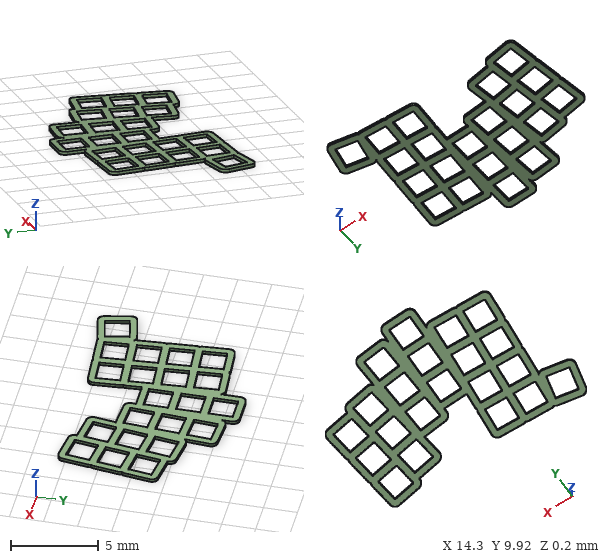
import cadquery as cq


THICKNESS = 0.2
KEY_PITCH = 1.9
FRAME_SIZE = 2.29
FRAME_CORNER_RADIUS = 0.39
OPENING_SIZE = 1.43

OUTER_COLUMN_DROP = 0.4

BLOCKS = [
    ((-5.69, -5.59), 12, 1, 1, 0),
    ((-2.93, -2.39), 4, 2, 4, 0),
    ((0, 0), 0, 1, 3, 0),
    ((2.09, -0.72), -4, 1, 3, 0),
    ((4.9, -2.92), -8, 2, 3, OUTER_COLUMN_DROP),
]


def key_centres(columns, rows, drop):
    """Key centres of an unturned block whose middle is at the origin."""
    centres = []
    for column in range(columns):
        columns_from_middle = column - (columns - 1) / 2
        for row in range(rows):
            rows_from_middle = row - (rows - 1) / 2
            x = columns_from_middle * KEY_PITCH
            y = rows_from_middle * KEY_PITCH - columns_from_middle * drop
            centres.append((x, y))
    return centres


def key_frame(block_plane, position):
    """Solid rounded square of plate thickness at one key position."""
    square = block_plane.center(*position).rect(FRAME_SIZE, FRAME_SIZE).extrude(THICKNESS)
    return square.edges("|Z").fillet(FRAME_CORNER_RADIUS)


def block_openings(block_plane, positions):
    """Prisms that cut the switch openings of a whole block."""
    return block_plane.pushPoints(positions).rect(OPENING_SIZE, OPENING_SIZE).extrude(THICKNESS)


plate = cq.Workplane("XY")
openings = []
for (centre_x, centre_y), turn, columns, rows, drop in BLOCKS:
    block_plane = cq.Workplane("XY").transformed(offset=(centre_x, centre_y, 0), rotate=(0, 0, turn))
    positions = key_centres(columns, rows, drop)
    for position in positions:
        plate = plate.union(key_frame(block_plane, position))
    openings.append(block_openings(block_plane, positions))

for opening in openings:
    plate = plate.cut(opening)

result = plate